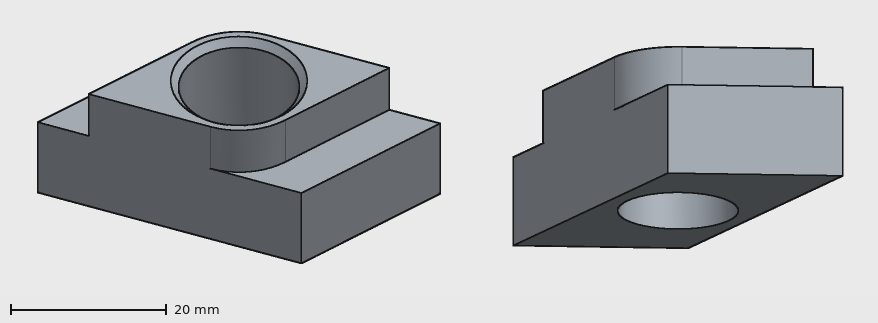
import cadquery as cq
import math

length = 47.85
width = 19.5
height = 19.0
base_height = 11.9
slant_angle = 30.0
bore_diameter = 15.5
bore_chamfer = 1.0

slant = width * math.tan(math.radians(slant_angle))

neck_run = width / math.cos(math.radians(slant_angle))
corner_radius = width / 2


def slanted_block(run, block_height):
    """Centred parallelogram block whose sides along X are run long."""
    half_run = run / 2
    half_slant = slant / 2
    half_width = width / 2
    corners = [
        (-half_run - half_slant, -half_width),
        (half_run - half_slant, -half_width),
        (half_run + half_slant, half_width),
        (-half_run + half_slant, half_width),
    ]
    return cq.Workplane("XY").polyline(corners).close().extrude(block_height)


base = slanted_block(length - slant, base_height)

neck = slanted_block(neck_run, height - base_height)
obtuse_corners = cq.selectors.BoxSelector(
    (-neck_run / 2, -width, -height), (neck_run / 2, width, height)
)
neck = neck.edges("|Z").edges(obtuse_corners).fillet(corner_radius)
neck = neck.translate((0, 0, base_height))

bore = cq.Workplane("XY").circle(bore_diameter / 2).extrude(height)
rim = (
    cq.Workplane("XY")
    .workplane(offset=height - bore_chamfer)
    .circle(bore_diameter / 2)
    .workplane(offset=bore_chamfer)
    .circle(bore_diameter / 2 + bore_chamfer)
    .loft()
)

result = base.union(neck).cut(bore).cut(rim)